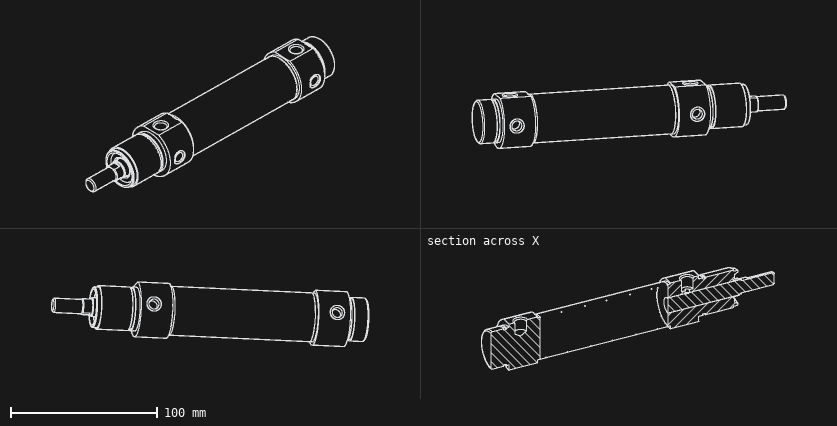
import cadquery as cq
import math


body_length = 190.0
rod_projection = 28.0
nose_length = 30.0
rear_nose_length = 14.0
block_length = 22.0
shoulder_length = 2.0

front_block_start = nose_length
front_block_end = front_block_start + block_length
rear_block_end = body_length - rear_nose_length
rear_block_start = rear_block_end - block_length
tube_start = front_block_end + shoulder_length
tube_end = rear_block_start - shoulder_length

block_diameter = 38.0
flat_height = 17.5
nose_diameter = 30.0
groove_diameter = 28.0
groove_width = 2.0
front_groove_start = 25.0
rear_groove_offset = 2.0
rear_groove_start = rear_block_end + rear_groove_offset
rear_nose_chamfer = 1.0

lip_diameter = 28.0
lip_length = 3.3
lip_chamfer = 0.5
recess_mouth_diameter = 24.5
recess_floor_diameter = 22.0
recess_depth = 2.5
wiper_seat_mouth_diameter = 15.6
wiper_seat_floor_diameter = 14.0
wiper_seat_depth = 1.0
wiper_diameter = 13.0
wiper_projection = 1.2
wiper_chamfer = 0.5

port_inset = 9.0
port_diameter = 8.57
port_mouth_diameter = 10.6
port_depth = 9.0
drill_point_angle = 118.0
cushion_hole_diameter = 3.0

side_hole_diameter = 6.92
spotface_diameter = 10.0
spotface_offset = 18.0
side_hole_depth = 6.0

tube_diameter = 33.6
tube_bore = 32.0

rod_diameter = 11.5
rod_end_chamfer = 0.6
thread_diameter = 10.0
thread_length = 20.0
thread_chamfer = 1.0
flat_width = 10.0
flat_length = 5.5


def turned(profile):
    """Revolve (radius, y) points, closed along the axis, about the Y axis."""
    start_y = profile[0][1]
    end_y = profile[-1][1]
    outline = [(0, start_y), *profile, (0, end_y)]
    return cq.Workplane("XY").polyline(outline).close().revolve(360, (0, 0, 0), (0, 1, 0))


def axial_cylinder(diameter, start_y, end_y):
    """Cylinder on the Y axis between two stations."""
    radius = diameter / 2
    return turned([(radius, start_y), (radius, end_y)])


def ring_groove(start_y):
    """Ring to be removed from a nose to leave the groove."""
    end_y = start_y + groove_width
    ring = axial_cylinder(block_diameter, start_y, end_y)
    return ring.cut(axial_cylinder(groove_diameter, start_y, end_y))


def head_block(start_y):
    """Round block with a flat along its top."""
    block = axial_cylinder(block_diameter, start_y, start_y + block_length)
    above_flat = cq.Workplane("XY").box(
        block_diameter, block_length, block_diameter, centered=(True, False, False)
    ).translate((0, start_y, flat_height))
    return block.cut(above_flat)


def countersunk_drill(diameter, mouth_diameter, depth, point_height):
    """Cutter that enters downward from Z = 0: 45 degree mouth, straight hole, conical or flat end."""
    radius = diameter / 2
    mouth_radius = mouth_diameter / 2
    outline = [
        (0, 0),
        (mouth_radius, 0),
        (radius, radius - mouth_radius),
        (radius, -depth),
        (0, -depth - point_height),
    ]
    return cq.Workplane("XZ").polyline(outline).close().revolve(360, (0, 0, 0), (0, 1, 0))


def port(y, point_height):
    """Air port cutter sunk into the top flat."""
    cutter = countersunk_drill(port_diameter, port_mouth_diameter, port_depth, point_height)
    return cutter.translate((0, y, flat_height))


def side_holes(y):
    """Pair of spotfaced mounting hole cutters, one on each side."""
    spotface = (
        cq.Workplane("YZ", origin=(spotface_offset, y, 0))
        .circle(spotface_diameter / 2)
        .extrude(block_diameter / 2)
    )
    hole = (
        cq.Workplane("YZ", origin=(spotface_offset - side_hole_depth, y, 0))
        .circle(side_hole_diameter / 2)
        .extrude(block_diameter / 2)
    )
    right_side = spotface.union(hole)
    return right_side.union(right_side.mirror("YZ"))


def make_front_head():
    lip_radius = lip_diameter / 2
    nose_radius = nose_diameter / 2
    wiper_radius = wiper_diameter / 2
    wiper_tip_y = -wiper_projection
    wiper_seat_floor = recess_depth + wiper_seat_depth
    nose = turned([
        (wiper_radius - wiper_chamfer, wiper_tip_y),
        (wiper_radius, wiper_tip_y + wiper_chamfer),
        (wiper_radius, wiper_seat_floor),
        (wiper_seat_floor_diameter / 2, wiper_seat_floor),
        (wiper_seat_mouth_diameter / 2, recess_depth),
        (recess_floor_diameter / 2, recess_depth),
        (recess_mouth_diameter / 2, 0),
        (lip_radius - lip_chamfer, 0),
        (lip_radius, lip_chamfer),
        (lip_radius, lip_length),
        (nose_radius, lip_length),
        (nose_radius, front_block_start),
    ])
    shoulder = axial_cylinder(tube_diameter, front_block_end, tube_start)
    port_y = front_block_start + port_inset
    rod_bore = axial_cylinder(rod_diameter, wiper_tip_y, tube_start)
    cushion_hole = (
        cq.Workplane("XY", origin=(0, port_y, 0))
        .circle(cushion_hole_diameter / 2)
        .extrude(flat_height)
    )
    return (
        head_block(front_block_start)
        .union(nose)
        .union(shoulder)
        .cut(ring_groove(front_groove_start))
        .cut(port(port_y, 0))
        .cut(cushion_hole)
        .cut(side_holes(port_y))
        .cut(rod_bore)
    )


def make_rear_head():
    nose_radius = nose_diameter / 2
    nose = turned([
        (nose_radius, rear_block_end),
        (nose_radius, body_length - rear_nose_chamfer),
        (nose_radius - rear_nose_chamfer, body_length),
    ])
    shoulder = axial_cylinder(tube_diameter, tube_end, rear_block_start)
    port_y = rear_block_end - port_inset
    point_height = port_diameter / 2 / math.tan(math.radians(drill_point_angle / 2))
    return (
        head_block(rear_block_start)
        .union(nose)
        .union(shoulder)
        .cut(ring_groove(rear_groove_start))
        .cut(port(port_y, point_height))
        .cut(side_holes(port_y))
    )


def make_tube():
    return axial_cylinder(tube_diameter, tube_start, tube_end).cut(
        axial_cylinder(tube_bore, tube_start, tube_end)
    )


def make_rod():
    rod_radius = rod_diameter / 2
    thread_radius = thread_diameter / 2
    tip_y = -rod_projection
    thread_end = tip_y + thread_length
    rod = turned([
        (thread_radius - thread_chamfer, tip_y),
        (thread_radius, tip_y + thread_chamfer),
        (thread_radius, thread_end),
        (rod_radius - rod_end_chamfer, thread_end),
        (rod_radius, thread_end + rod_end_chamfer),
        (rod_radius, tube_start),
    ])
    for side in (1, -1):
        wrench_flat = cq.Workplane("XY").box(
            rod_diameter, flat_length, rod_diameter, centered=(True, False, True)
        ).translate((0, thread_end, side * (flat_width + rod_diameter) / 2))
        rod = rod.cut(wrench_flat)
    return rod


front_head = make_front_head()
rear_head = make_rear_head()
tube = make_tube()
rod = make_rod()

result = cq.Compound.makeCompound([front_head.val(), rear_head.val(), tube.val(), rod.val()])